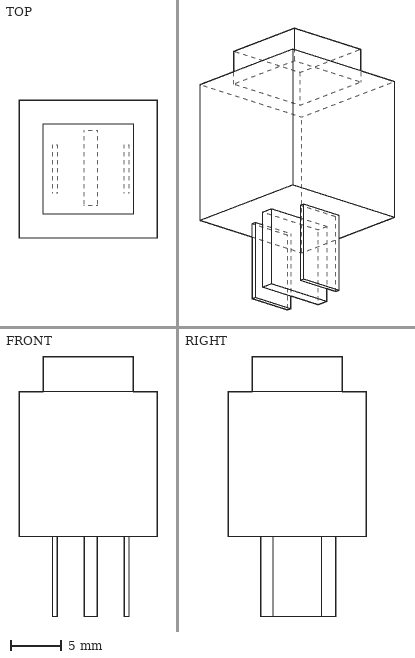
import cadquery as cq

housing_side = 13.8
housing_height = 14.5

button_side = 9.0
button_height = 3.5

terminal_length = 8.0

centre_thickness = 1.3
centre_width = 7.5
centre_x = 0.25
centre_y = 0.1

outer_thickness = 0.5
outer_width = 4.8
outer_spacing = 7.15


def upright_block(x_size, y_size, height, x=0.0, y=0.0, base_z=0.0):
    """Rectangular block centred on (x, y) with its lower face at base_z."""
    return cq.Workplane("XY").box(x_size, y_size, height, centered=(True, True, False)).translate((x, y, base_z))


def make_housing():
    return upright_block(housing_side, housing_side, housing_height)


def make_button():
    return upright_block(button_side, button_side, button_height, base_z=housing_height)


def make_centre_terminal():
    return upright_block(
        centre_thickness, centre_width, terminal_length, centre_x, centre_y, -terminal_length
    )


def make_outer_terminal(side):
    x = centre_x + side * outer_spacing / 2
    return upright_block(outer_thickness, outer_width, terminal_length, x, base_z=-terminal_length)


housing = make_housing()
button = make_button()
centre_terminal = make_centre_terminal()
outer_terminals = [make_outer_terminal(side) for side in (-1, 1)]

result = cq.Compound.makeCompound([
    housing.val(),
    button.val(),
    centre_terminal.val(),
    *[terminal.val() for terminal in outer_terminals],
])